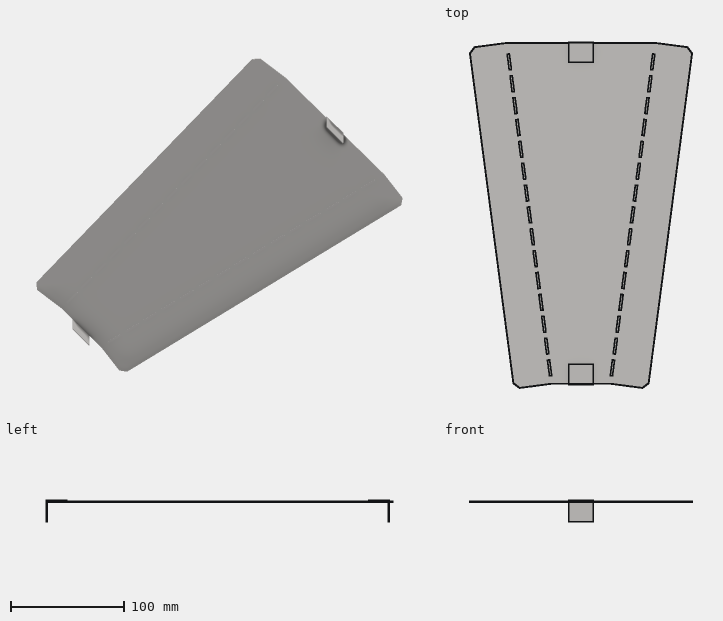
import cadquery as cq
import math

taper_angle = 7.5
panel_length = 301.35
panel_thickness = 1.0
fold_half_width_far = 65.58
wing_width = 33.605
corner_chamfer = 5.0

stitch_count = 15
stitch_length = 14.1
stitch_margin = 10.0
stitch_pitch = 19.48
stitch_width = 2.0
stitch_depth = 0.2

clip_width = 22.0
clip_thickness = 0.7
clip_reach = 18.0
clip_height = 19.03

slant_sin = math.sin(math.radians(taper_angle))
slant_cos = math.cos(math.radians(taper_angle))
fold_length = panel_length / slant_cos
far_y = panel_length / 2
near_y = -far_y
panel_bottom = -panel_thickness


def fold_point(along, outward):
    """Point beside the +X fold line: distance from its wide end, and distance out into the wing."""
    x = fold_half_width_far - along * slant_sin + outward * slant_cos
    y = far_y - along * slant_cos - outward * slant_sin
    return (x, y)


def mirrored(point):
    return (-point[0], point[1])


def make_panel():
    half_outline = [
        fold_point(0, 0),
        fold_point(0, wing_width - corner_chamfer),
        fold_point(corner_chamfer, wing_width),
        fold_point(fold_length - corner_chamfer, wing_width),
        fold_point(fold_length, wing_width - corner_chamfer),
        fold_point(fold_length, 0),
    ]
    outline = half_outline + [mirrored(point) for point in reversed(half_outline)]
    base = cq.Workplane("XY").workplane(offset=panel_bottom)
    panel = base.polyline(outline).close().extrude(panel_thickness)
    return panel.cut(make_stitches(0)).union(make_stitches(panel_bottom))


def make_stitches(top_z):
    """Blocks of one stitch depth below top_z, in a row along each fold line."""
    first_middle = stitch_margin + stitch_length / 2
    stitches = cq.Workplane("XY")
    for index in range(stitch_count):
        along = first_middle + index * stitch_pitch
        x, y = fold_point(along, 0)
        for side in (1, -1):
            block = cq.Workplane("XY").rect(stitch_width, stitch_length).extrude(-stitch_depth)
            block = block.rotate((0, 0, 0), (0, 0, 1), -side * taper_angle)
            stitches = stitches.add(block.translate((side * x, y, top_z)))
    return stitches.combine()


def make_clip(end_y, outward):
    """L-shaped clip over the panel end at end_y; outward is the Y direction away from the panel."""
    outer_y = end_y + outward * clip_thickness
    inner_y = outer_y - outward * clip_reach
    foot_z = clip_thickness - clip_height
    profile = [
        (outer_y, clip_thickness),
        (inner_y, clip_thickness),
        (inner_y, 0),
        (end_y, 0),
        (end_y, foot_z),
        (outer_y, foot_z),
    ]
    return cq.Workplane("YZ").polyline(profile).close().extrude(clip_width / 2, both=True)


panel = make_panel()
clips = [make_clip(far_y, 1), make_clip(near_y, -1)]
result = cq.Compound.makeCompound([panel.val(), *[clip.val() for clip in clips]])